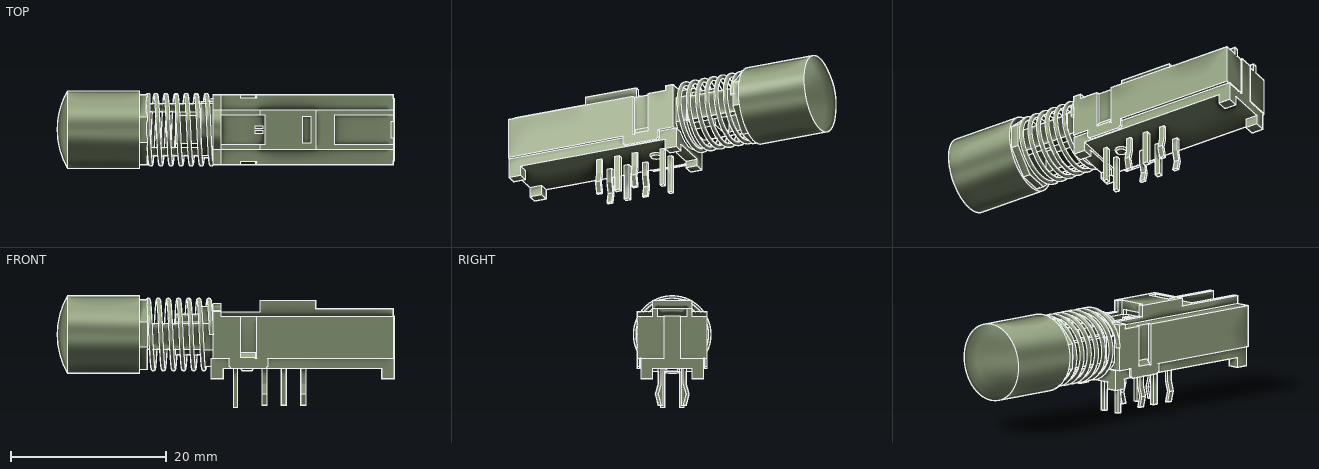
import cadquery as cq
import math


cap_radius = 5.0
dome_radius = 10.0
cap_end_x = 10.6
flange_width = 9.0
flange_flat = 3.26
flange_end_x = 11.58
rail_inner_y = 2.28
rail_outer_y = 3.35
rail_bottom_z = -1.9
rail_top_z = 1.4
core_start_x = 15.2
core_half_height = 2.62
core_flat_half_width = 1.8
core_shoulder_z = 1.6
collar_start_x = 18.5
collar_radius = 3.62
collar_saddle_radius = 4.13

wire_radius = 0.26
coil_outer_radius = 4.68
coil_pitch = 1.3
coil_turns = 6.25
coil_start_x = 11.7

housing_start_x = 20.0
housing_end_x = 43.2
housing_width = 9.0
housing_top_z = 2.29
housing_bottom_z = -3.07
front_wall_end_x = 21.06
front_wall_top_z = 2.93
arch_radius = 4.0
arch_half_width = 2.54

spine_half_width = 2.54
spine_front_top_z = 2.91
block_start_x = 26.03
block_end_x = 33.24
block_top_z = 4.38
spine_rear_top_z = 3.33
recess_half_width = 1.9
recess_end_x = 26.7
recess_floor_z = 2.5
window_half_width = 1.6
window_depth = 0.5
window_top_z = 3.2
key_pocket_start_x = 25.4
key_pocket_end_x = 26.45
key_pocket_width = 0.95
key_pocket_depth = 0.4
key_rib_width = 0.25
slot_start_x = 31.5
slot_end_x = 32.6
slot_half_width = 1.72
slot_depth = 1.0
rear_pocket_start_x = 35.6

base_start_x = 19.75
base_end_x = 43.32
base_half_width = 4.03
base_bottom_z = -4.38
foot_inner_y = 2.53
foot_bottom_z = -5.68
front_foot_length = 1.6
rear_foot_length = 1.65
front_beam_bottom_z = -4.77
latch_start_x = 42.9
latch_half_width = 1.05
latch_top_z = 2.4
pip_x = 24.4
pip_bottom_z = -4.66
pip_top_radius = 0.8
pip_bottom_radius = 0.65

groove_start_x = 23.54
groove_end_x = 25.63
groove_depth = 0.4
ramp_top_z = -2.29
ramp_end_x = 25.45
ramp_bottom_z = -2.95
tab_start_x = 22.1
tab_end_x = 27.07
tab_thickness = 0.35
tab_chamfer = 0.3

pin_outer_y = 1.81
long_pin_bottom_z = -9.4
short_pin_bottom_z = -9.1
bend_start_z = -6.34
bend_apex_z = -7.65
bend_apex_y = 2.18
bent_pin_thickness = 0.4
short_pin_width = 0.68
long_pin_centre_x = 22.9
long_pin_width = 0.55
long_pin_inner_y = 0.95
long_pin_outer_y = 1.53
middle_pin_centre_x = 29.11
middle_pin_inner_y = 1.2
front_bent_pin_centre_x = 26.63
rear_bent_pin_centre_x = 31.63


def box(x0, x1, y0, y1, z0, z1):
    """Axis-aligned block between the given limits."""
    size = (x1 - x0, y1 - y0, z1 - z0)
    return cq.Workplane("XY").box(*size, centered=False).translate((x0, y0, z0))


def centred_box(x0, x1, half_width, z0, z1):
    """Block that is symmetric about Y = 0."""
    return box(x0, x1, -half_width, half_width, z0, z1)


def both_sides(shape):
    """The shape together with its mirror image about Y = 0."""
    return shape.union(shape.mirror("XZ"))


def make_cap():
    dome_depth = dome_radius - math.sqrt(dome_radius**2 - cap_radius**2)
    mid_radius = cap_radius / 2
    mid_depth = dome_radius - math.sqrt(dome_radius**2 - mid_radius**2)
    return (
        cq.Workplane("XY")
        .threePointArc((mid_depth, mid_radius), (dome_depth, cap_radius))
        .lineTo(cap_end_x, cap_radius)
        .lineTo(cap_end_x, 0)
        .close()
        .revolve(360, (0, 0, 0), (1, 0, 0))
    )


def make_plunger():
    half_flange = flange_width / 2
    flange = centred_box(cap_end_x, flange_end_x, half_flange, -half_flange, half_flange)
    flange = flange.edges("|X").chamfer((flange_width - flange_flat) / 2)
    rails = both_sides(
        box(flange_end_x, housing_start_x, rail_inner_y, rail_outer_y, rail_bottom_z, rail_top_z)
    )
    core = (
        centred_box(core_start_x, housing_start_x, rail_inner_y, -core_half_height, core_half_height)
        .edges("|X")
        .chamfer(core_half_height - core_shoulder_z, rail_inner_y - core_flat_half_width)
    )
    collar_plane = cq.Workplane("YZ", origin=(collar_start_x, 0, 0))
    collar_length = housing_start_x - collar_start_x
    collar = collar_plane.circle(collar_radius).extrude(collar_length)
    saddle_limits = centred_box(
        collar_start_x, housing_start_x, collar_radius, -collar_saddle_radius, 0
    )
    saddle = collar_plane.circle(collar_saddle_radius).extrude(collar_length).intersect(saddle_limits)
    cheeks = centred_box(collar_start_x, housing_start_x, collar_radius, rail_bottom_z, rail_top_z)
    return flange.union(rails).union(core).union(collar).union(saddle).union(cheeks)


def make_spring():
    """Helical wire about X, with a flat quarter turn against the flange."""
    coil_radius = coil_outer_radius - wire_radius
    path = cq.Wire.makeHelix(coil_pitch, coil_pitch * coil_turns, coil_radius)
    section_plane = cq.Workplane("XZ").center(coil_radius, 0)
    helix = section_plane.circle(wire_radius).sweep(cq.Workplane(path), isFrenet=True)
    end_turn = section_plane.circle(wire_radius).revolve(
        90, (-coil_radius, 0, 0), (-coil_radius, -1, 0)
    )
    axis_frame = cq.Plane(origin=(coil_start_x, 0, 0), xDir=(0, 0, 1), normal=(1, 0, 0))
    placement = cq.Location(axis_frame)
    return [shape.val().moved(placement) for shape in (helix, end_turn)]


def make_housing():
    half_width = housing_width / 2
    body = centred_box(housing_start_x, housing_end_x, half_width, housing_bottom_z, housing_top_z)
    front_wall = centred_box(housing_start_x, front_wall_end_x, half_width, 0, front_wall_top_z)
    arch = (
        cq.Workplane("YZ", origin=(housing_start_x, 0, 0))
        .circle(arch_radius)
        .extrude(front_wall_end_x - housing_start_x)
        .intersect(centred_box(housing_start_x, front_wall_end_x, arch_half_width, 0, arch_radius))
    )
    return body.union(front_wall).union(arch)


def make_spine():
    spine = centred_box(front_wall_end_x, block_start_x, spine_half_width, 0, spine_front_top_z)
    block = centred_box(block_start_x, block_end_x, spine_half_width, 0, block_top_z)
    rear = centred_box(block_end_x, housing_end_x, spine_half_width, 0, spine_rear_top_z)
    return spine.union(block).union(rear)


def cut_top_recesses(part):
    front_recess = centred_box(
        front_wall_end_x, recess_end_x, recess_half_width, recess_floor_z, block_top_z
    )
    window = centred_box(
        recess_end_x, recess_end_x + window_depth, window_half_width, recess_floor_z, window_top_z
    )
    key_pocket = centred_box(
        key_pocket_start_x,
        key_pocket_end_x,
        key_pocket_width / 2,
        recess_floor_z - key_pocket_depth,
        recess_floor_z,
    )
    key_rib = centred_box(
        key_pocket_start_x,
        key_pocket_end_x,
        key_rib_width / 2,
        recess_floor_z - key_pocket_depth,
        recess_floor_z,
    )
    slot = centred_box(
        slot_start_x, slot_end_x, slot_half_width, block_top_z - slot_depth, block_top_z
    )
    rear_pocket = centred_box(
        rear_pocket_start_x, housing_end_x, recess_half_width, housing_top_z, spine_rear_top_z
    )
    part = part.cut(front_recess).cut(window).cut(key_pocket.cut(key_rib))
    return part.cut(slot).cut(rear_pocket)


def cut_side_grooves(part):
    """Open-topped groove on each side wall, with a ramp at its foot."""
    outer_y = housing_width / 2
    floor_y = outer_y - groove_depth
    groove = box(groove_start_x, groove_end_x, floor_y, outer_y, housing_bottom_z, housing_top_z)
    ramp = (
        cq.Workplane("YZ", origin=(groove_start_x, 0, 0))
        .moveTo(floor_y, ramp_top_z)
        .lineTo(outer_y, ramp_bottom_z)
        .lineTo(outer_y, housing_bottom_z)
        .lineTo(floor_y, housing_bottom_z)
        .close()
        .extrude(ramp_end_x - groove_start_x)
    )
    return part.cut(both_sides(groove)).union(both_sides(ramp))


def make_clip_tabs():
    tab = box(
        tab_start_x,
        tab_end_x,
        housing_width / 2 - tab_thickness,
        housing_width / 2,
        base_bottom_z,
        housing_bottom_z,
    )
    return both_sides(tab.edges("|Y and <Z").chamfer(tab_chamfer))


def make_base():
    base = centred_box(
        base_start_x, base_end_x, base_half_width, base_bottom_z, housing_bottom_z
    )
    front_foot_end = base_start_x + front_foot_length
    rear_foot_start = base_end_x - rear_foot_length
    for x0, x1 in ((base_start_x, front_foot_end), (rear_foot_start, base_end_x)):
        foot = box(x0, x1, foot_inner_y, base_half_width, foot_bottom_z, base_bottom_z)
        base = base.union(both_sides(foot))
    beam = centred_box(
        base_start_x, front_foot_end, foot_inner_y, front_beam_bottom_z, base_bottom_z
    )
    latch = centred_box(latch_start_x, base_end_x, latch_half_width, housing_bottom_z, latch_top_z)
    pip = (
        cq.Workplane("XY", origin=(pip_x, 0, base_bottom_z))
        .circle(pip_top_radius)
        .workplane(offset=pip_bottom_z - base_bottom_z)
        .circle(pip_bottom_radius)
        .loft()
    )
    return base.union(beam).union(latch).union(pip)


def straight_pin(centre_x, width, inner_y, outer_y, bottom_z):
    start_x = centre_x - width / 2
    return both_sides(box(start_x, start_x + width, inner_y, outer_y, bottom_z, base_bottom_z))


def bent_pin(centre_x):
    """Strip pin that bows outwards into a retaining kink."""
    inner_y = pin_outer_y - bent_pin_thickness
    strip = (
        cq.Workplane("YZ", origin=(centre_x - short_pin_width / 2, 0, 0))
        .moveTo(pin_outer_y, base_bottom_z)
        .lineTo(pin_outer_y, bend_start_z)
        .lineTo(bend_apex_y, bend_apex_z)
        .lineTo(pin_outer_y, short_pin_bottom_z)
        .lineTo(inner_y, short_pin_bottom_z)
        .lineTo(bend_apex_y - bent_pin_thickness, bend_apex_z)
        .lineTo(inner_y, bend_start_z)
        .lineTo(inner_y, base_bottom_z)
        .close()
        .extrude(short_pin_width)
    )
    return both_sides(strip)


def make_pins():
    long_pins = straight_pin(
        long_pin_centre_x, long_pin_width, long_pin_inner_y, long_pin_outer_y, long_pin_bottom_z
    )
    middle_pins = straight_pin(
        middle_pin_centre_x, short_pin_width, middle_pin_inner_y, pin_outer_y, short_pin_bottom_z
    )
    pins = long_pins.union(middle_pins)
    for centre_x in (front_bent_pin_centre_x, rear_bent_pin_centre_x):
        pins = pins.union(bent_pin(centre_x))
    return pins


switch = make_housing().union(make_spine())
switch = cut_top_recesses(switch)
switch = cut_side_grooves(switch)
switch = switch.union(make_base()).union(make_clip_tabs()).union(make_pins())
switch = switch.union(make_cap()).union(make_plunger())
for wire in make_spring():
    switch = switch.union(cq.Workplane(wire))
result = switch